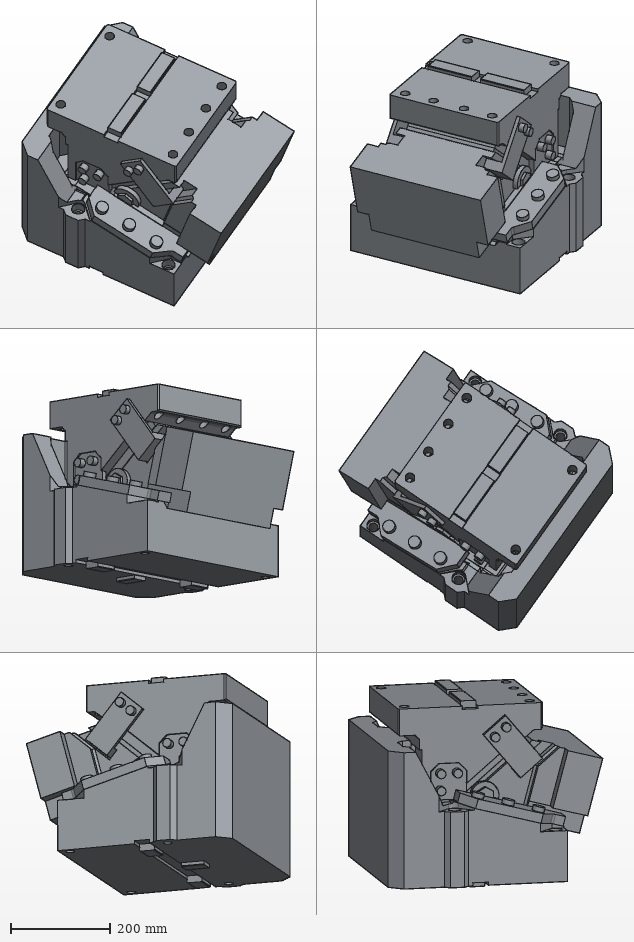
import cadquery as cq
import math


SLIDE_ANGLE = 15.0
RAMP_ANGLE = 40.0

BASE_LENGTH = 366.0
BASE_HALF_WIDTH = 195.0
BASE_HEIGHT = 280.0
BASE_CORNER_X = 27.0
BASE_CORNER_Y = 26.0
FLOOR_Z = 165.0
SLOPE_TOP_X = 51.0
SLOPE_FOOT_X = 111.0
SEAT_STEP_FOOT_X = 133.5
SEAT_STEP_X = 137.0

LUG_X = 135.5
LUG_ROOT_HALF = 25.0
LUG_TIP_HALF = 14.5
LUG_HALF_WIDTH = 205.0
LUG_Z = 155.5
LUG_RELIEF_R = 15.0
MOUNT_Y = 179.5
REAR_MOUNT_X = 344.5
REAR_MOUNT_Z = 104.6
REAR_RELIEF_CORNER = (340.7, 163.5)
MOUNT_HOLE_D = 18.0
MOUNT_BORE_D = 26.0
MOUNT_BORE_DEPTH = 20.0

POCKET_HALF_WIDTH = 149.0
POCKET_X = 40.0
POCKET_CORNER = 20.0
WALL_BLOCK_X = 71.0
WALL_BLOCK_HALF = 73.0
WALL_BLOCK_CORNER = 13.0
WALL_EDGE_X = 2.5
WALL_EDGE_Z = 4.0
PAD_HALF_WIDTH = 70.0
PAD_FRONT_X = 81.0
PAD_TOP_Z = 270.0
WELL_X = 70.0
WELL_HALF_WIDTH = 139.0
WELL_DEPTH = 5.0
WELL_BEVEL = 4.95

CHANNEL_DEPTH = 12.0
CHANNEL_FLOOR_HALF = 136.0
CHANNEL_TOP_HALF = 147.0

GIB_ORIGIN = (145.5, 166.4)
GIB_LENGTH = 226.0
GIB_THICKNESS = 20.0
GIB_INNER_Y = 127.0
GIB_OUTER_Y = 194.0
GIB_FRONT_CUT = 31.0
GIB_REAR_CUT = 30.0
GIB_TAIL = 25.0
GIB_TAIL_FILLET = 9.0
GIB_BOLT_S = (35.0, 100.0, 165.0)
GIB_BOLT_Y = 171.0
GIB_BOLT_D = 25.0
GIB_BOLT_HEIGHT = 10.0

KEY_WIDTH = 32.0
KEY_PROJECTION = 8.0
KEY_SEAT = 6.5
KEY_CHAMFER = 1.5
BASE_KEY_X = 185.5
BASE_KEY_Y = 139.5
BASE_KEY_LENGTH = 49.0
CROSS_KEY_X = 141.5
CROSS_KEY_LENGTH = 49.0

SLIDE_LENGTH = 274.67
SLIDE_FLANGE_END = 220.0
SLIDE_TOP = 150.0
SLIDE_HALF_WIDTH = 110.0
SHOULDER_S = 150.0
SHOULDER_DROP = 40.0
SHOULDER_HALF_WIDTH = 125.0
SHOULDER_CHAMFER = 5.0
HEAD_S = 200.0
HEAD_BOTTOM = 29.5
HEAD_HALF_WIDTH = 150.0
FOOT_HALF_WIDTH = 124.0
FOOT_TOP = 14.0
RAMP_START_S = 133.5
FLANGE_THICKNESS = 15.0
GROOVE_INNER_Y = 90.0
WEAR_HALF_WIDTH = 100.0
SLIDE_WEAR_THICKNESS = 9.0
BOSS_X = 212.5
BOSS_Z = 169.0
BOSS_R = 29.0
BOSS_LENGTH = 10.0
BOSS_HEX_D = 38.0
BOSS_HEX_HEIGHT = 6.0
BOSS_HEX_TURN = 30.0

DRIVER_X = (31.5, 331.0)
DRIVER_HALF_WIDTH = 125.0
DRIVER_TOP_Z = 356.0
DRIVER_FLANGE_Z = 301.0
DRIVER_CORNER = 3.0
NECK_X = 76.0
NECK_CHAMFER = 9.5
DRIVER_RAMP_H = 29.0
DRIVER_HEEL_H = 19.0
DRIVER_HEEL_R = 10.0
DRIVER_KEY_X = 180.5
DRIVER_KEY_Y = 60.0
DRIVER_KEY_LENGTH = 100.0
DRIVER_HOLE_D = 19.0
DRIVER_HOLE_DEPTH = 76.0
DRIVER_FRONT_HOLE_X = 50.5
DRIVER_REAR_HOLE_X = 310.0
DRIVER_OUTER_HOLE_Y = 100.0
DRIVER_INNER_HOLE_Y = 35.0
CAP_HEAD_D = 18.0

GUIDE_X = (99.0, 174.0)
GUIDE_TOP_Z = 240.0
GUIDE_CORNER = 16.5
GUIDE_FACE_Y = 121.0
GUIDE_INNER_Y = 110.0
GUIDE_BOLT_END_Y = 135.0
GUIDE_BOLTS = ((119.0, 220.0), (153.5, 220.0), (119.0, 185.0))

HOOK_E = (-69.0, -9.5)
HOOK_H = (-36.0, 83.5)
HOOK_THICKNESS = 8.0
HOOK_BOLT_HEIGHT = 11.5
HOOK_BOLT_H = 66.0
HOOK_BOLT_E = (-54.5, -24.5)

FAR = 600.0

sin_slide = math.sin(math.radians(SLIDE_ANGLE))
cos_slide = math.cos(math.radians(SLIDE_ANGLE))
tan_slide = math.tan(math.radians(SLIDE_ANGLE))
sin_ramp = math.sin(math.radians(RAMP_ANGLE))
cos_ramp = math.cos(math.radians(RAMP_ANGLE))


def way_point(s, t):
    """XZ place of a point s along the slide way and t above the gib seat."""
    return (GIB_ORIGIN[0] + s * cos_slide + t * sin_slide, GIB_ORIGIN[1] - s * sin_slide + t * cos_slide)


ramp_origin = way_point(RAMP_START_S, SLIDE_TOP)


def ramp_point(e, h):
    """XZ place of a point e up the slide ramp and h out from it."""
    return (ramp_origin[0] + e * cos_ramp - h * sin_ramp, ramp_origin[1] + e * sin_ramp + h * cos_ramp)


def ramp_x(h, z):
    """X at height z on the line parallel to the ramp at distance h."""
    x, z_start = ramp_point(0, h)
    return x + (z - z_start) / math.tan(math.radians(RAMP_ANGLE))


def way_plane(y=0.0):
    """Plane parallel to XZ with its first axis down the slide way."""
    return cq.Plane((GIB_ORIGIN[0], y, GIB_ORIGIN[1]), (cos_slide, 0, -sin_slide), (0, -1, 0))


def ramp_plane(y=0.0):
    """Plane parallel to XZ with its first axis up the slide ramp."""
    return cq.Plane((ramp_origin[0], y, ramp_origin[1]), (cos_ramp, 0, sin_ramp), (0, -1, 0))


def box(x, y, z):
    """Box given by its (low, high) limits along each axis."""
    size = [high - low for low, high in (x, y, z)]
    return cq.Workplane("XY").box(*size, centered=False).translate((x[0], y[0], z[0]))


def frame_box(plane, a, b, half_width):
    """Box between limits a and b of a tilted frame, centred on the XZ plane."""
    return (
        cq.Workplane(plane)
        .center((a[0] + a[1]) / 2, (b[0] + b[1]) / 2)
        .rect(a[1] - a[0], b[1] - b[0])
        .extrude(half_width, both=True)
    )


def both_sides(shape):
    """The shape joined with its mirror image across the XZ plane."""
    return shape.union(shape.mirror("XZ"))


def key(x_width, y_length, z_low, z_high, outer_face):
    """Rectangular key whose exposed face has chamfered edges."""
    bar = box((-x_width / 2, x_width / 2), (-y_length / 2, y_length / 2), (z_low, z_high))
    return bar.faces(outer_face).edges("|Y").chamfer(KEY_CHAMFER)


channel_floor_x, channel_floor_z = way_point(0, -CHANNEL_DEPTH)
channel_x = channel_floor_x - (FLOOR_Z - channel_floor_z) / tan_slide


def base_block():
    block = box((0, BASE_LENGTH), (-BASE_HALF_WIDTH, BASE_HALF_WIDTH), (0, BASE_HEIGHT))
    corner = (
        cq.Workplane("XY")
        .polyline([
            (0, BASE_HALF_WIDTH),
            (BASE_CORNER_X, BASE_HALF_WIDTH),
            (0, BASE_HALF_WIDTH - BASE_CORNER_Y),
        ])
        .close()
        .extrude(BASE_HEIGHT)
    )
    lug = (
        cq.Workplane("XY")
        .polyline([
            (LUG_X - LUG_ROOT_HALF, BASE_HALF_WIDTH),
            (LUG_X - LUG_TIP_HALF, LUG_HALF_WIDTH),
            (LUG_X + LUG_TIP_HALF, LUG_HALF_WIDTH),
            (LUG_X + LUG_ROOT_HALF, BASE_HALF_WIDTH),
        ])
        .close()
        .extrude(LUG_Z)
    )
    return block.cut(both_sides(corner)).union(both_sides(lug))


def side_wall_cut():
    """Space above the side walls: back slope, short level and gib seat."""
    seat_start = way_point((SEAT_STEP_X - GIB_ORIGIN[0]) / cos_slide, 0)
    seat_z_end = GIB_ORIGIN[1] - (BASE_LENGTH - GIB_ORIGIN[0]) * tan_slide
    return (
        cq.Workplane("XZ")
        .polyline([
            (SLOPE_TOP_X, BASE_HEIGHT),
            (SLOPE_FOOT_X, FLOOR_Z),
            (SEAT_STEP_FOOT_X, FLOOR_Z),
            seat_start,
            (BASE_LENGTH, seat_z_end),
            (BASE_LENGTH, BASE_HEIGHT),
        ])
        .close()
        .extrude(FAR, both=True)
    )


def wall_block():
    """Raised middle of the back wall with its wear pad."""
    block = (
        cq.Workplane("XY")
        .workplane(offset=FLOOR_Z - WELL_DEPTH)
        .polyline([
            (BASE_CORNER_X, WALL_BLOCK_HALF + WALL_BLOCK_CORNER),
            (POCKET_X, WALL_BLOCK_HALF + WALL_BLOCK_CORNER),
            (POCKET_X + WALL_BLOCK_CORNER, WALL_BLOCK_HALF),
            (WALL_BLOCK_X, WALL_BLOCK_HALF),
            (WALL_BLOCK_X, -WALL_BLOCK_HALF),
            (POCKET_X + WALL_BLOCK_CORNER, -WALL_BLOCK_HALF),
            (POCKET_X, -WALL_BLOCK_HALF - WALL_BLOCK_CORNER),
            (BASE_CORNER_X, -WALL_BLOCK_HALF - WALL_BLOCK_CORNER),
        ])
        .close()
        .extrude(BASE_HEIGHT - FLOOR_Z + WELL_DEPTH)
        .faces(">X")
        .edges(">Z")
        .chamfer(WALL_EDGE_Z, WALL_EDGE_X)
    )
    pad = box((POCKET_X, PAD_FRONT_X), (-PAD_HALF_WIDTH, PAD_HALF_WIDTH), (FLOOR_Z - WELL_DEPTH, PAD_TOP_Z))
    return block.union(pad)


def back_pocket():
    """Pocket behind the back wall, with cut corners, and the shallow well in its floor."""
    pocket = (
        cq.Workplane("XY")
        .workplane(offset=FLOOR_Z)
        .polyline([
            (POCKET_X, POCKET_HALF_WIDTH - POCKET_CORNER),
            (POCKET_X + POCKET_CORNER, POCKET_HALF_WIDTH),
            (channel_x, POCKET_HALF_WIDTH),
            (channel_x, -POCKET_HALF_WIDTH),
            (POCKET_X + POCKET_CORNER, -POCKET_HALF_WIDTH),
            (POCKET_X, -POCKET_HALF_WIDTH + POCKET_CORNER),
        ])
        .close()
        .extrude(FAR)
    )
    well = box(
        (WELL_X, channel_x), (-WELL_HALF_WIDTH, WELL_HALF_WIDTH), (FLOOR_Z - WELL_DEPTH, FLOOR_Z)
    )
    well = well.faces("<Z").edges("|X or <X").chamfer(WELL_BEVEL)
    return pocket.union(well)


def slide_channel():
    """Sloped-wall channel that carries the slide."""
    section = (
        cq.Workplane(cq.Plane((GIB_ORIGIN[0], 0, GIB_ORIGIN[1]), (0, 1, 0), (cos_slide, 0, -sin_slide)))
        .polyline([
            (-CHANNEL_FLOOR_HALF, -CHANNEL_DEPTH),
            (-CHANNEL_TOP_HALF, 0),
            (-CHANNEL_TOP_HALF, FAR),
            (CHANNEL_TOP_HALF, FAR),
            (CHANNEL_TOP_HALF, 0),
            (CHANNEL_FLOOR_HALF, -CHANNEL_DEPTH),
        ])
        .close()
        .extrude(FAR, both=True)
    )
    return section.intersect(box((channel_x, FAR), (-FAR, FAR), (0, FAR)))


def channel_entry():
    """Bevel on one channel wall, ahead of the gib."""
    width = CHANNEL_TOP_HALF - CHANNEL_FLOOR_HALF
    return (
        cq.Workplane(cq.Plane((channel_x, 0, FLOOR_Z), (0, 1, 0), (1, 0, 0)))
        .polyline([(CHANNEL_FLOOR_HALF, 0), (CHANNEL_TOP_HALF, 0), (CHANNEL_FLOOR_HALF, -width)])
        .close()
        .extrude(GIB_ORIGIN[0] - channel_x)
    )


def lug_relief():
    """Space over a lug bolt: a 45 degree notch rounded about the bolt, open to the side."""
    r = LUG_RELIEF_R
    tangent = r / math.sqrt(2)
    spread = tangent + FAR
    return (
        cq.Workplane("XY")
        .workplane(offset=LUG_Z)
        .moveTo(LUG_X - spread, MOUNT_Y - tangent + FAR)
        .lineTo(LUG_X - tangent, MOUNT_Y - tangent)
        .threePointArc((LUG_X, MOUNT_Y - r), (LUG_X + tangent, MOUNT_Y - tangent))
        .lineTo(LUG_X + spread, MOUNT_Y - tangent + FAR)
        .close()
        .extrude(FAR)
    )


def rear_relief():
    """Space over a rear bolt: a 45 degree notch open to the side and to the rear."""
    corner_x, corner_y = REAR_RELIEF_CORNER
    return (
        cq.Workplane("XY")
        .workplane(offset=REAR_MOUNT_Z)
        .moveTo(corner_x - FAR, corner_y + FAR)
        .lineTo(corner_x, corner_y)
        .lineTo(corner_x + FAR, corner_y)
        .lineTo(corner_x + FAR, corner_y + FAR)
        .close()
        .extrude(FAR)
    )


def mount_hole(x, z):
    hole = cq.Workplane("XY").center(x, MOUNT_Y).circle(MOUNT_HOLE_D / 2).extrude(z)
    bore = (
        cq.Workplane("XY")
        .workplane(offset=z)
        .center(x, MOUNT_Y)
        .circle(MOUNT_BORE_D / 2)
        .extrude(-MOUNT_BORE_DEPTH)
    )
    return hole.union(bore)


def gib():
    """Side rail over the slide flange, with its three bolt heads."""
    plane = cq.Plane((GIB_ORIGIN[0], 0, GIB_ORIGIN[1]), (cos_slide, 0, -sin_slide), (sin_slide, 0, cos_slide))
    edge = GIB_OUTER_Y
    tail_s = GIB_LENGTH - GIB_TAIL
    rail = (
        cq.Workplane(plane)
        .polyline([
            (0, GIB_INNER_Y),
            (0, edge - GIB_FRONT_CUT),
            (GIB_FRONT_CUT, edge),
            (tail_s - GIB_REAR_CUT, edge),
            (tail_s, edge - GIB_REAR_CUT),
            (GIB_LENGTH, edge - GIB_REAR_CUT),
            (GIB_LENGTH, GIB_INNER_Y),
        ])
        .close()
        .extrude(GIB_THICKNESS)
    )
    notch_x, notch_z = way_point(tail_s, GIB_THICKNESS / 2)
    notch = cq.selectors.NearestToPointSelector((notch_x, edge - GIB_REAR_CUT, notch_z))
    rail = rail.edges(notch).fillet(GIB_TAIL_FILLET)
    bolts = (
        cq.Workplane(plane)
        .workplane(offset=GIB_THICKNESS)
        .pushPoints([(s, GIB_BOLT_Y) for s in GIB_BOLT_S])
        .circle(GIB_BOLT_D / 2)
        .extrude(GIB_BOLT_HEIGHT)
    )
    return rail.union(bolts)


def make_base():
    body = base_block()
    body = body.cut(side_wall_cut())
    body = body.cut(back_pocket()).cut(slide_channel())
    body = body.union(wall_block())
    body = body.cut(both_sides(lug_relief())).cut(both_sides(rear_relief()))
    body = body.cut(both_sides(channel_entry()))
    for x, z in ((LUG_X, LUG_Z), (REAR_MOUNT_X, REAR_MOUNT_Z)):
        body = body.cut(both_sides(mount_hole(x, z)))
    body = body.union(both_sides(gib()))
    return add_base_keys(body)


def add_base_keys(body):
    """Cut the underside key slot, fill it with two side keys and add the cross key."""
    slot = box((BASE_KEY_X - KEY_WIDTH / 2, BASE_KEY_X + KEY_WIDTH / 2), (-FAR, FAR), (0, KEY_SEAT))
    body = body.cut(slot)
    side_key = key(KEY_WIDTH, BASE_KEY_LENGTH, -KEY_PROJECTION, KEY_SEAT, "<Z")
    body = body.union(both_sides(side_key.translate((BASE_KEY_X, BASE_KEY_Y, 0))))
    cross_key = key(KEY_WIDTH, CROSS_KEY_LENGTH, -KEY_PROJECTION, 0, "<Z")
    cross_key = cross_key.rotate((0, 0, 0), (0, 0, 1), 90)
    return body.union(cross_key.translate((CROSS_KEY_X, 0, 0)))


def shoulder():
    """Widened rear of the slide, behind the stop faces of the ramp and of the body."""
    limits_s = (SHOULDER_S + SHOULDER_CHAMFER, SLIDE_LENGTH)
    limits_h = (-FAR, -SHOULDER_DROP - SHOULDER_CHAMFER)
    block = frame_box(way_plane(), limits_s, (HEAD_BOTTOM, SLIDE_TOP), SHOULDER_HALF_WIDTH)
    return block.intersect(frame_box(ramp_plane(), (-FAR, FAR), limits_h, SHOULDER_HALF_WIDTH))


def shoulder_chamfer():
    """45 degree step that widens the body into the shoulder on one side."""
    along_way = cq.Workplane(way_plane(-SLIDE_HALF_WIDTH)).moveTo(SHOULDER_S + FAR / 2, 0)
    step = along_way.rect(FAR, FAR).extrude(SHOULDER_CHAMFER, taper=45)
    below_stop = cq.Workplane(ramp_plane(-SLIDE_HALF_WIDTH)).moveTo(0, -SHOULDER_DROP - FAR / 2)
    step = step.intersect(below_stop.rect(2 * FAR, FAR).extrude(SHOULDER_CHAMFER, taper=45))
    return step.intersect(frame_box(way_plane(), (0, SLIDE_LENGTH), (0, SLIDE_TOP), FAR))


def hook_groove():
    """Grooves under the ramp flange, one on each side, that take the hook tangs."""
    ramp = ramp_plane()
    groove = frame_box(ramp, (HOOK_E[0], FAR), (-SHOULDER_DROP, -FLANGE_THICKNESS), FAR)
    groove = groove.cut(frame_box(ramp, (-FAR, 2 * FAR), (-FAR, FAR), GROOVE_INNER_Y))
    return groove.cut(frame_box(way_plane(), (HEAD_S, FAR), (-FAR, FAR), FAR))


def slide_wear_plate():
    plate = frame_box(ramp_plane(), (-FAR, HOOK_E[1]), (0, SLIDE_WEAR_THICKNESS), WEAR_HALF_WIDTH)
    return plate.intersect(frame_box(way_plane(), (0, FAR), (-CHANNEL_DEPTH, FAR), FAR))


def boss():
    """Round side boss with a hexagon bolt head, cut off level with the gib."""
    plane = cq.Plane((BOSS_X, -SLIDE_HALF_WIDTH, BOSS_Z), (1, 0, 0), (0, -1, 0))
    disc = cq.Workplane(plane).circle(BOSS_R).extrude(BOSS_LENGTH)
    hexagon = cq.Workplane(plane.rotated((0, 0, BOSS_HEX_TURN))).workplane(offset=BOSS_LENGTH)
    hexagon = hexagon.polygon(6, BOSS_HEX_D).extrude(BOSS_HEX_HEIGHT)
    above_gib = frame_box(way_plane(), (-FAR, FAR), (GIB_THICKNESS, FAR), FAR)
    return disc.union(hexagon).intersect(above_gib)


def make_slide():
    way = way_plane()
    full_length = (0, SLIDE_LENGTH)
    shoulder_length = (SHOULDER_S + SHOULDER_CHAMFER, SLIDE_LENGTH)
    body = frame_box(way, full_length, (-CHANNEL_DEPTH, SLIDE_TOP), SLIDE_HALF_WIDTH)
    body = body.union(frame_box(way, (0, SLIDE_FLANGE_END), (-CHANNEL_DEPTH, 0), CHANNEL_FLOOR_HALF))
    body = body.union(frame_box(way, full_length, (-CHANNEL_DEPTH, FOOT_TOP), FOOT_HALF_WIDTH))
    body = body.union(frame_box(way, shoulder_length, (0, HEAD_BOTTOM), FOOT_HALF_WIDTH))
    body = body.intersect(frame_box(ramp_plane(), (-FAR, FAR), (-FAR, 0), FAR))
    body = body.union(shoulder()).union(both_sides(shoulder_chamfer()))
    body = body.union(frame_box(way, (HEAD_S, SLIDE_LENGTH), (HEAD_BOTTOM, SLIDE_TOP), HEAD_HALF_WIDTH))
    body = body.cut(hook_groove())
    return body.union(slide_wear_plate()).union(both_sides(boss()))


def driver_body():
    heel_x = ramp_x(DRIVER_HEEL_H, DRIVER_FLANGE_Z)
    outline = [
        (DRIVER_X[0], DRIVER_TOP_Z),
        (DRIVER_X[1], DRIVER_TOP_Z),
        (DRIVER_X[1], DRIVER_FLANGE_Z + DRIVER_CORNER),
        (DRIVER_X[1] - DRIVER_CORNER, DRIVER_FLANGE_Z),
        (heel_x, DRIVER_FLANGE_Z),
        ramp_point(HOOK_E[1], DRIVER_HEEL_H),
        ramp_point(HOOK_E[1], DRIVER_RAMP_H),
        (ramp_x(DRIVER_RAMP_H, FLOOR_Z), FLOOR_Z),
        (PAD_FRONT_X, FLOOR_Z),
        (PAD_FRONT_X, PAD_TOP_Z),
        (NECK_X, PAD_TOP_Z),
        (NECK_X, DRIVER_FLANGE_Z - NECK_CHAMFER),
        (NECK_X - NECK_CHAMFER, DRIVER_FLANGE_Z),
        (DRIVER_X[0] + DRIVER_CORNER, DRIVER_FLANGE_Z),
        (DRIVER_X[0], DRIVER_FLANGE_Z + DRIVER_CORNER),
    ]
    body = cq.Workplane("XZ").polyline(outline).close().extrude(DRIVER_HALF_WIDTH, both=True)
    heel = cq.selectors.NearestToPointSelector((heel_x, 0, DRIVER_FLANGE_Z))
    body = body.edges("|Y").edges(heel).fillet(DRIVER_HEEL_R)
    body = body.edges("|Z").edges("<X or >X").chamfer(DRIVER_CORNER)
    outer_y = DRIVER_OUTER_HOLE_Y
    inner_y = DRIVER_INNER_HOLE_Y
    places = [(DRIVER_FRONT_HOLE_X, y) for y in (-outer_y, outer_y)]
    places += [(DRIVER_REAR_HOLE_X, y) for y in (-outer_y, -inner_y, inner_y, outer_y)]
    holes = (
        cq.Workplane("XY")
        .workplane(offset=DRIVER_TOP_Z)
        .pushPoints(places)
        .circle(DRIVER_HOLE_D / 2)
        .extrude(-DRIVER_HOLE_DEPTH)
    )
    return body.union(driver_wear_plate()).cut(holes)


def driver_wear_plate():
    limits_h = (SLIDE_WEAR_THICKNESS, DRIVER_RAMP_H)
    plate = frame_box(ramp_plane(), (-FAR, HOOK_E[1]), limits_h, WEAR_HALF_WIDTH)
    return plate.intersect(box((PAD_FRONT_X, FAR), (-FAR, FAR), (FLOOR_Z, FAR)))


def guide_outline(y):
    """Guide plate outline, with two cut corners, on the side plane at -y."""
    c = GUIDE_CORNER
    low_x, high_x = GUIDE_X
    return (
        cq.Workplane("XZ", origin=(0, -y, 0))
        .polyline([
            (low_x, FLOOR_Z),
            (low_x, GUIDE_TOP_Z - c),
            (low_x + c, GUIDE_TOP_Z),
            (high_x - c, GUIDE_TOP_Z),
            (high_x, GUIDE_TOP_Z - c),
            (high_x, FLOOR_Z),
        ])
        .close()
    )


def add_guides(body):
    """Sink a guide plate with three bolt heads into each side of the driver."""
    recess = guide_outline(GUIDE_FACE_Y).extrude(DRIVER_HALF_WIDTH - GUIDE_FACE_Y)
    plate = guide_outline(GUIDE_INNER_Y).extrude(GUIDE_FACE_Y - GUIDE_INNER_Y)
    bolts = (
        cq.Workplane("XZ", origin=(0, -GUIDE_FACE_Y, 0))
        .pushPoints(GUIDE_BOLTS)
        .circle(CAP_HEAD_D / 2)
        .extrude(GUIDE_BOLT_END_Y - GUIDE_FACE_Y)
    )
    return body.cut(both_sides(recess)).union(both_sides(plate)).union(both_sides(bolts))


def hook():
    """Return hook: outer plate, tang in the slide groove and two bolt heads."""
    outer = DRIVER_HALF_WIDTH + HOOK_THICKNESS
    plate = frame_box(ramp_plane(), HOOK_E, HOOK_H, outer)
    plate = plate.cut(frame_box(ramp_plane(), HOOK_E, HOOK_H, DRIVER_HALF_WIDTH))
    tang = frame_box(ramp_plane(), HOOK_E, (HOOK_H[0], -FLANGE_THICKNESS), outer)
    tang = tang.cut(frame_box(ramp_plane(), HOOK_E, HOOK_H, GROOVE_INNER_Y))
    bolts = (
        cq.Workplane(ramp_plane(-outer))
        .pushPoints([(e, HOOK_BOLT_H) for e in HOOK_BOLT_E])
        .circle(CAP_HEAD_D / 2)
        .extrude(HOOK_BOLT_HEIGHT)
    )
    return plate.union(tang).union(both_sides(bolts))


def make_driver():
    body = driver_body()
    slot_x = (DRIVER_KEY_X - KEY_WIDTH / 2, DRIVER_KEY_X + KEY_WIDTH / 2)
    seat_z = DRIVER_TOP_Z - KEY_SEAT
    slot = box(slot_x, (-FAR, FAR), (seat_z, DRIVER_TOP_Z))
    body = body.cut(slot)
    top_key = key(KEY_WIDTH, DRIVER_KEY_LENGTH, seat_z, DRIVER_TOP_Z + KEY_PROJECTION, ">Z")
    body = body.union(both_sides(top_key.translate((DRIVER_KEY_X, DRIVER_KEY_Y, 0))))
    return add_guides(body).union(hook())


base = make_base()
slide = make_slide()
driver = make_driver()
result = cq.Compound.makeCompound([*base.vals(), *slide.vals(), *driver.vals()])